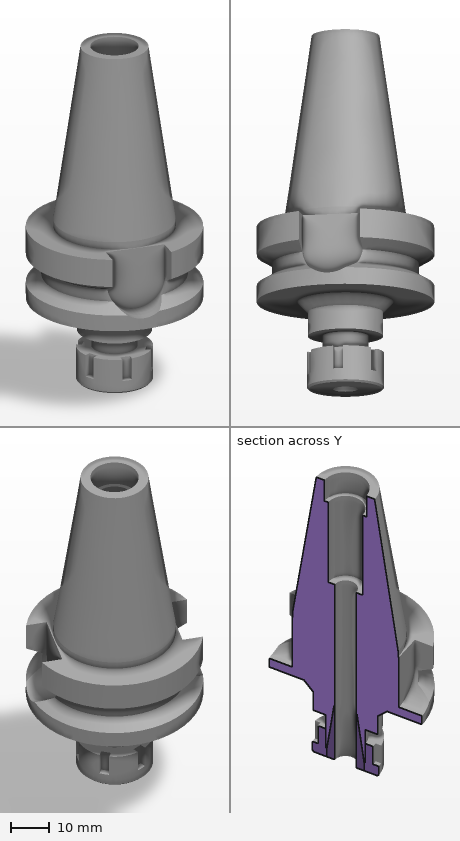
import cadquery as cq
import math


gauge_radius = 31.75 / 2
shank_length = 48.4
taper_per_length = 7 / 48
shank_end_radius = gauge_radius - shank_length * taper_per_length

flange_radius = 46 / 2
flange_top = -2.0
flange_bottom = flange_top - 20
groove_radius = 38 / 2
groove_centre = -13.6
groove_floor_half_width = 1.7
groove_flank_angle = 30
groove_flank_height = (flange_radius - groove_radius) * math.tan(math.radians(groove_flank_angle))
groove_mouth_half_width = groove_floor_half_width + groove_flank_height

drive_slot_width = 16.1
drive_slot_depth = 16.9
drive_slot_floor = 16.1
drive_slot_arc_centre = flange_top - drive_slot_depth + drive_slot_width / 2

collar_radius = 19.5 / 2
collar_cone_height = 2.75
collar_cone_radius = collar_radius + collar_cone_height
collar_bottom = -31.0
spigot_radius = 12 / 2

nut_radius = 20 / 2
nut_bottom = -45.0
nut_height = 9.5
nut_top = nut_bottom + nut_height
nut_chamfer = 0.5
nut_lip_height = 3.0
spigot_bottom = nut_bottom + nut_lip_height

spanner_slot_count = 6
spanner_slot_width = 2.6
spanner_slot_height = 6.0
spanner_slot_floor = 8.3

collet_length = 18.0
collet_top = nut_bottom + collet_length
collet_mouth_radius = 11 / 2
collet_half_angle = 8
collet_cone_height = collet_top - spigot_bottom
collet_top_radius = collet_mouth_radius - collet_cone_height * math.tan(math.radians(collet_half_angle))

entry_bore_radius = 12.5 / 2
entry_bore_depth = 7.0
stud_hole_radius = 10.3 / 2
stud_hole_depth = 34.0
through_hole_radius = 6.4 / 2


def revolve_about_axis(points):
    """Revolve a closed (radius, z) outline about the Z axis."""
    return cq.Workplane("XZ").polyline(points).close().revolve(360, (0, 0, 0), (0, 1, 0))


def make_cylinder(radius, bottom, top):
    return cq.Workplane("XY").workplane(offset=bottom).circle(radius).extrude(top - bottom)


def make_collet_envelope():
    """Outer shape of the collet: a cone in the spigot and a short cylinder in the nut."""
    return revolve_about_axis([
        (0, nut_bottom),
        (collet_mouth_radius, nut_bottom),
        (collet_mouth_radius, spigot_bottom),
        (collet_top_radius, collet_top),
        (0, collet_top),
    ])


def make_holder_blank():
    return revolve_about_axis([
        (0, shank_length),
        (shank_end_radius, shank_length),
        (gauge_radius, 0),
        (gauge_radius, flange_top),
        (flange_radius, flange_top),
        (flange_radius, groove_centre + groove_mouth_half_width),
        (groove_radius, groove_centre + groove_floor_half_width),
        (groove_radius, groove_centre - groove_floor_half_width),
        (flange_radius, groove_centre - groove_mouth_half_width),
        (flange_radius, flange_bottom),
        (collar_cone_radius, flange_bottom),
        (collar_radius, flange_bottom - collar_cone_height),
        (collar_radius, collar_bottom),
        (spigot_radius, collar_bottom),
        (spigot_radius, spigot_bottom),
        (0, spigot_bottom),
    ])


def make_drive_slot():
    """Round-ended slot cutter, open at the flange top, on the +X side."""
    half_width = drive_slot_width / 2
    return (
        cq.Workplane("YZ")
        .workplane(offset=drive_slot_floor)
        .moveTo(-half_width, flange_top)
        .lineTo(-half_width, drive_slot_arc_centre)
        .threePointArc((0, flange_top - drive_slot_depth), (half_width, drive_slot_arc_centre))
        .lineTo(half_width, flange_top)
        .close()
        .extrude(flange_radius - drive_slot_floor)
    )


def make_holder():
    holder = make_holder_blank()
    for angle in (0, 180):
        holder = holder.cut(make_drive_slot().rotate((0, 0, 0), (0, 0, 1), angle))
    holder = holder.cut(make_cylinder(entry_bore_radius, shank_length - entry_bore_depth, shank_length))
    holder = holder.cut(make_cylinder(stud_hole_radius, shank_length - stud_hole_depth, shank_length))
    holder = holder.cut(make_cylinder(through_hole_radius, spigot_bottom, shank_length))
    return holder.cut(make_collet_envelope())


def make_spanner_slot():
    """Square-sided slot cutter, open at the nut top, on the +X side."""
    slot_depth = nut_radius - spanner_slot_floor
    return cq.Workplane("XY").box(
        slot_depth, spanner_slot_width, spanner_slot_height, centered=(False, True, False)
    ).translate((spanner_slot_floor, 0, nut_top - spanner_slot_height))


def make_nut():
    nut = revolve_about_axis([
        (collet_mouth_radius, nut_bottom),
        (nut_radius - nut_chamfer, nut_bottom),
        (nut_radius, nut_bottom + nut_chamfer),
        (nut_radius, nut_top),
        (spigot_radius, nut_top),
        (spigot_radius, spigot_bottom),
        (collet_mouth_radius, spigot_bottom),
    ])
    for index in range(spanner_slot_count):
        angle = index * 360 / spanner_slot_count
        nut = nut.cut(make_spanner_slot().rotate((0, 0, 0), (0, 0, 1), angle))
    return nut


def make_collet():
    return make_collet_envelope().cut(make_cylinder(through_hole_radius, nut_bottom, collet_top))


holder = make_holder()
nut = make_nut()
collet = make_collet()

result = cq.Compound.makeCompound([
    holder.solids().val(),
    nut.solids().val(),
    collet.solids().val(),
])